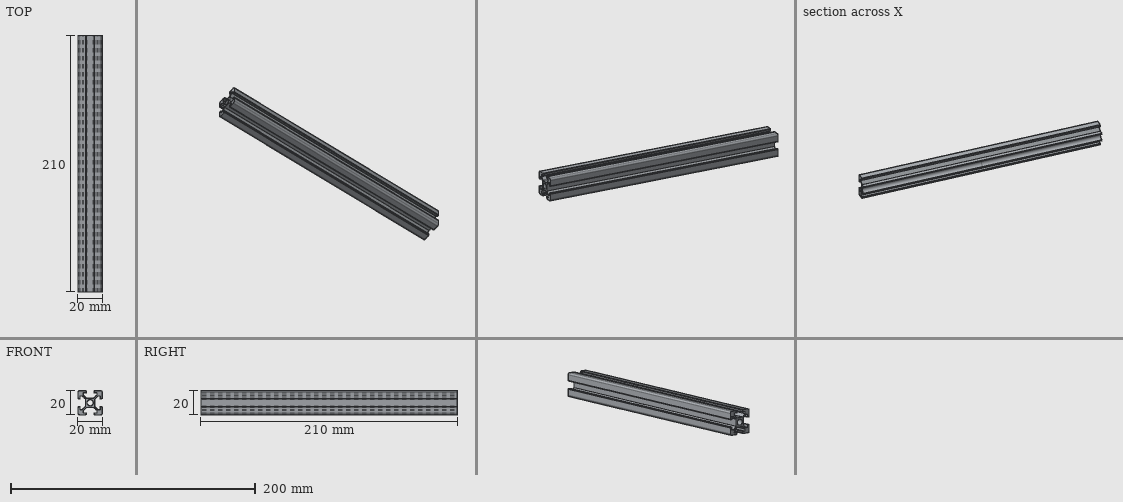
import cadquery as cq
import math

side = 20.0
length = 210.0
corner_radius = 1.5

slot_opening = 6.2
step_width = 0.5
step_depth = 0.5
lip_thickness = 1.8
cavity_width = 11.0

core_side = 7.8
web_thickness = 1.3
bore_diameter = 5.0

half_side = side / 2


def extrude_along_y(sketch):
    """Extrude an XZ sketch over the full length, centred on the origin."""
    return sketch.extrude(length / 2, both=True)


def make_blank():
    blank = extrude_along_y(cq.Workplane("XZ").rect(side, side))
    return blank.edges("|Y").fillet(corner_radius)


def make_slot():
    """Void of the slot in the +Z face, symmetric about X = 0."""
    half_core = core_side / 2
    half_opening = slot_opening / 2
    half_mouth = half_opening + step_width
    half_cavity = cavity_width / 2
    lip_underside = half_side - lip_thickness
    step_level = half_side - step_depth
    web_offset = web_thickness / math.sqrt(2)
    right_side = [
        (half_core - web_offset, half_core),
        (half_cavity, half_cavity + web_offset),
        (half_cavity, lip_underside),
        (half_opening, lip_underside),
        (half_opening, step_level),
        (half_mouth, step_level),
        (half_mouth, half_side),
    ]
    left_side = [(-x, z) for x, z in reversed(right_side)]
    return extrude_along_y(cq.Workplane("XZ").polyline(right_side + left_side).close())


def make_bore():
    return extrude_along_y(cq.Workplane("XZ").circle(bore_diameter / 2))


result = make_blank()
slot = make_slot()
for quarter_turn in range(4):
    result = result.cut(slot.rotate((0, 0, 0), (0, 1, 0), 90 * quarter_turn))
result = result.cut(make_bore())